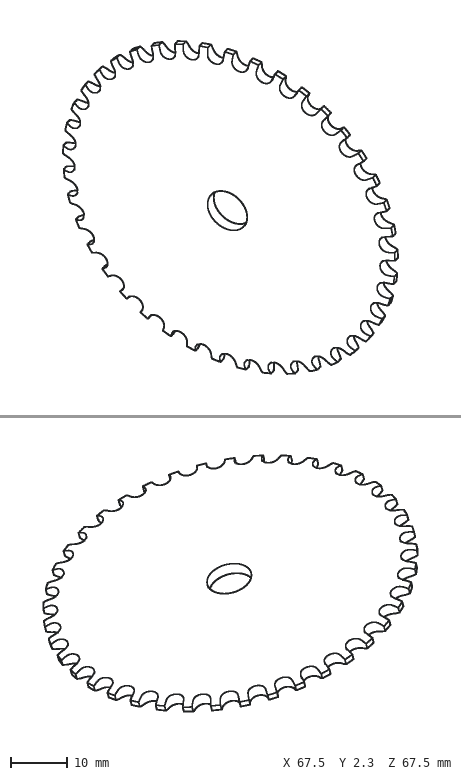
import cadquery as cq
import math

tooth_count = 41
tip_radius = 33.75
thickness = 2.3
bore_diameter = 8.0

seat_radius = 1.6
pitch_radius = 32.65

face_radius = 31.45
relief_radius = 4.7

tooth_angle = 360 / tooth_count
half_thickness = thickness / 2
relief_height = tip_radius - face_radius
relief_center_y = half_thickness - relief_radius


def relief_y(height):
    """Half thickness of a tooth at a height above the flat face's rim."""
    return relief_center_y + math.sqrt(relief_radius**2 - height**2)


def make_blank():
    """Disc with the bore and the rounded rim, revolved about Y."""
    bore_radius = bore_diameter / 2
    mid_radius = face_radius + relief_height / 2
    mid_y = relief_y(relief_height / 2)
    tip_y = relief_y(relief_height)
    return (
        cq.Workplane("XY")
        .moveTo(bore_radius, -half_thickness)
        .lineTo(face_radius, -half_thickness)
        .threePointArc((mid_radius, -mid_y), (tip_radius, -tip_y))
        .lineTo(tip_radius, tip_y)
        .threePointArc((mid_radius, mid_y), (face_radius, half_thickness))
        .lineTo(bore_radius, half_thickness)
        .close()
        .revolve(360, (0, 0, 0), (0, 1, 0))
    )


def make_gap():
    """Gap pointing to +Z: a round seat with tangent walls parallel to the neighbouring teeth."""
    lean = math.radians(tooth_angle / 2)
    wall_length = tip_radius - pitch_radius + seat_radius
    wall_start_x = seat_radius * math.cos(lean)
    wall_start_z = pitch_radius - seat_radius * math.sin(lean)
    wall_end_x = wall_start_x + wall_length * math.sin(lean)
    wall_end_z = wall_start_z + wall_length * math.cos(lean)
    return (
        cq.Workplane("XZ")
        .moveTo(-wall_end_x, wall_end_z)
        .lineTo(-wall_start_x, wall_start_z)
        .threePointArc((0, pitch_radius - seat_radius), (wall_start_x, wall_start_z))
        .lineTo(wall_end_x, wall_end_z)
        .close()
        .extrude(half_thickness, both=True)
    )


result = make_blank()
gap = make_gap()
for index in range(tooth_count):
    angle = (index + 0.5) * tooth_angle
    result = result.cut(gap.rotate((0, 0, 0), (0, 1, 0), angle))